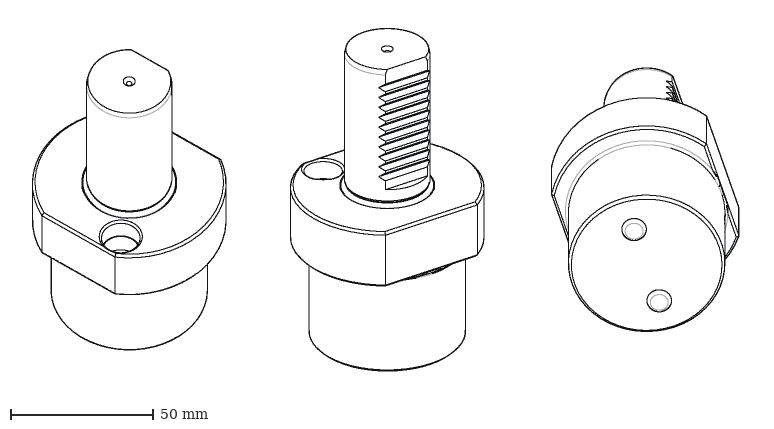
import cadquery as cq
import math

total_height = 116.5
foot_height = 1.4
shank_length = 55.0
flange_thickness = 22.0
flange_top = total_height - shank_length
flange_bottom = flange_top - flange_thickness

body_radius = 27.5
body_chamfer = 1.0
collar_radius = 1.0
foot_radius = 4.3
foot_round = 1.2
foot_offset = 15.0

flange_diameter = 68.0
flange_back = 28.0
flange_front = 30.0
flange_chamfer = 0.9

shank_radius = 15.0
top_chamfer_height = 2.0
top_chamfer_depth = 0.5
neck_height = 1.4
neck_inset = 0.3
neck_taper = 0.7
shank_root = 2.3

recess_radius = 16.7
recess_depth = 1.2
ring_section_radius = 1.3
ring_drop = 0.1

flat_distance = 12.1
flat_start = 6.6
tooth_count = 10
tooth_row_length = 36.0
tooth_pitch = tooth_row_length / (tooth_count - 1)
tooth_depth = 1.5
first_tooth_drop = 7.2

pin_x = 12.5
pin_y = -21.9
pin_radius = 6.8
pin_depth = 7.7
pin_core_radius = 6.5
pin_core_depth = 15.0
pin_chamfer = 0.8
drill_tip_angle = 118.0

centre_mouth_radius = 2.1
centre_radius = 0.9
centre_depth = 3.3
countersink_angle = 90.0


def cone_height(large_radius, small_radius, angle):
    """Height of a cone frustum with the given full angle."""
    return (large_radius - small_radius) / math.tan(math.radians(angle / 2))


def turned(points):
    """Solid of revolution about Z from (radius, z) points."""
    return cq.Workplane("XZ").polyline(points).close().revolve(360, (0, 0), (0, 1))


def between_flats():
    """Slab that spans the space between the two unequal flats over the full height."""
    return (
        cq.Workplane("XY", origin=(0, (flange_back - flange_front) / 2, 0))
        .rect(flange_diameter, flange_back + flange_front)
        .extrude(total_height)
    )


def flange():
    """Round flange with two flats, chamfered edges and a recess for the sealing ring."""
    disc = (
        cq.Workplane("XY", origin=(0, 0, flange_bottom))
        .circle(flange_diameter / 2)
        .extrude(flange_thickness)
    )
    blank = disc.intersect(between_flats())
    chamfered = blank.faces("<Z or >Z").edges().chamfer(flange_chamfer)
    return chamfered.cut(seal_recess())


def lower_body():
    """Turned body whose fillet under the flange is trimmed by the flange flats."""
    fillet_start = (body_radius, flange_bottom - collar_radius)
    fillet_end = (body_radius + collar_radius, flange_bottom)
    sagitta = collar_radius * (1 - math.sqrt(0.5))
    fillet_middle = (body_radius + sagitta, flange_bottom - sagitta)
    body = (
        cq.Workplane("XZ")
        .moveTo(0, foot_height)
        .lineTo(body_radius - body_chamfer, foot_height)
        .lineTo(body_radius, foot_height + body_chamfer)
        .lineTo(*fillet_start)
        .threePointArc(fillet_middle, fillet_end)
        .lineTo(body_radius, flange_bottom + collar_radius)
        .lineTo(0, flange_bottom + collar_radius)
        .close()
        .revolve(360, (0, 0), (0, 1))
    )
    return body.intersect(between_flats())


def foot(x):
    """Round pad on the underside, with a rounded rim."""
    pad = cq.Workplane("XY", origin=(x, 0, 0)).circle(foot_radius).extrude(foot_height + body_chamfer)
    return pad.faces("<Z").edges().fillet(foot_round)


def seal_recess():
    """Shallow round recess in the flange face around the shank."""
    plane = cq.Workplane("XY", origin=(0, 0, flange_top - recess_depth))
    return plane.circle(recess_radius).extrude(recess_depth)


def seal_ring():
    """Ring of round section around the shank, partly sunk in its recess."""
    ring_z = flange_top - ring_drop
    section = cq.Workplane("XZ").center(shank_radius, ring_z).circle(ring_section_radius)
    return section.revolve(360, (-shank_radius, 0), (-shank_radius, 1))


def shank():
    """Turned shank with a tapered end and a narrower neck at the flange."""
    neck_radius = shank_radius - neck_inset
    neck_top = flange_top + neck_height
    root_z = flange_top - shank_root
    return turned([
        (0, root_z),
        (neck_radius, root_z),
        (neck_radius, neck_top),
        (shank_radius, neck_top + neck_taper),
        (shank_radius, total_height - top_chamfer_height),
        (shank_radius - top_chamfer_depth, total_height),
        (0, total_height),
    ])


def toothed_flat():
    """Material removed for the flat and for its row of V notches."""
    step_z = flange_top + flat_start
    cutter = cq.Workplane("XY").box(
        2 * shank_radius, shank_radius, total_height - step_z, centered=(True, False, False)
    ).translate((0, flat_distance, step_z))
    for index in range(tooth_count):
        z = total_height - first_tooth_drop - index * tooth_pitch
        notch = (
            cq.Workplane("YZ")
            .polyline([
                (flat_distance - tooth_depth, z),
                (flat_distance, z + tooth_depth),
                (flat_distance + tooth_depth, z + tooth_depth),
                (flat_distance + tooth_depth, z - tooth_depth),
                (flat_distance, z - tooth_depth),
            ])
            .close()
            .extrude(shank_radius, both=True)
        )
        cutter = cutter.union(notch)
    return cutter


def pin_hole():
    """Blind stepped hole with a chamfered mouth and a drilled conical bottom."""
    step_z = flange_top - pin_depth
    bottom = flange_top - pin_core_depth
    hole = turned([
        (0, flange_top),
        (pin_radius + pin_chamfer, flange_top),
        (pin_radius, flange_top - pin_chamfer),
        (pin_radius, step_z),
        (pin_core_radius, step_z),
        (pin_core_radius, bottom),
        (0, bottom - cone_height(pin_core_radius, 0, drill_tip_angle)),
    ])
    return hole.translate((pin_x, pin_y, 0))


def centre_hole():
    """Countersunk centre hole with a drilled conical bottom."""
    bottom = total_height - centre_depth
    return turned([
        (0, total_height),
        (centre_mouth_radius, total_height),
        (centre_radius, total_height - cone_height(centre_mouth_radius, centre_radius, countersink_angle)),
        (centre_radius, bottom),
        (0, bottom - cone_height(centre_radius, 0, drill_tip_angle)),
    ])


result = flange().union(lower_body())
for side in (-1, 1):
    result = result.union(foot(side * foot_offset))
result = result.union(shank().cut(toothed_flat()))
result = result.union(seal_ring())
result = result.cut(pin_hole()).cut(centre_hole())